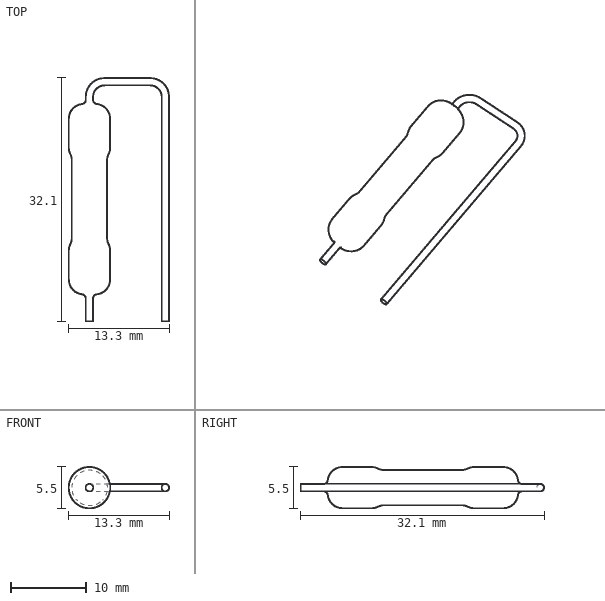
import cadquery as cq
import math


total_length = 32.1
lead_diameter = 1.0
cap_diameter = 5.5
waist_diameter = 4.7
lead_pitch = 10.0
bend_radius = 2.0
lead_tip = 16.1

waist_half_length = 5.15
flare_length = 1.6
cap_length = 3.85
dome_radius = 2.0
root_fillet = 0.498

lead_radius = lead_diameter / 2
cap_radius = cap_diameter / 2
waist_radius = waist_diameter / 2
fold_y = total_length - lead_tip - lead_radius

cap_start = waist_half_length + flare_length
dome_start = cap_start + cap_length

dome_center_x = cap_radius - dome_radius
root_center_x = lead_radius + root_fillet
center_distance = dome_radius + root_fillet
root_angle = math.acos((root_center_x - dome_center_x) / center_distance)
root_y = dome_start + center_distance * math.sin(root_angle)


def dome_point(angle):
    """Point on the dome arc, with the angle measured from the radial direction."""
    return (
        dome_center_x + dome_radius * math.cos(angle),
        dome_start + dome_radius * math.sin(angle),
    )


def root_point(angle):
    """Point on the root fillet arc, with the angle measured from the radial direction."""
    return (
        root_center_x + root_fillet * math.cos(angle),
        root_y + root_fillet * math.sin(angle),
    )


def body_half():
    """Half of the dog-bone body, from its middle to the lead root at +Y."""
    flare_middle = ((waist_radius + cap_radius) / 2, waist_half_length + flare_length / 2)
    root_start_angle = root_angle - math.pi
    root_end_angle = -math.pi
    root_middle_angle = (root_start_angle + root_end_angle) / 2
    return (
        cq.Workplane("XY")
        .moveTo(0, 0)
        .lineTo(waist_radius, 0)
        .lineTo(waist_radius, waist_half_length)
        .tangentArcPoint(flare_middle, relative=False)
        .tangentArcPoint((cap_radius, cap_start), relative=False)
        .lineTo(cap_radius, dome_start)
        .threePointArc(dome_point(root_angle / 2), dome_point(root_angle))
        .threePointArc(root_point(root_middle_angle), root_point(root_end_angle))
        .lineTo(0, root_y)
        .close()
        .revolve(360, (0, 0, 0), (0, 1, 0))
    )


def straight_lead():
    """Short lead leaving the body toward -Y."""
    return cq.Workplane("XZ").circle(lead_radius).extrude(lead_tip)


def folded_lead():
    """Lead leaving toward +Y, crossing in +X and returning to -Y."""
    bend_y = fold_y - bend_radius
    bend_rise = bend_radius * math.sin(math.pi / 4)
    bend_inset = bend_radius - bend_rise
    path = (
        cq.Workplane("XY")
        .lineTo(0, bend_y)
        .threePointArc((bend_inset, bend_y + bend_rise), (bend_radius, fold_y))
        .lineTo(lead_pitch - bend_radius, fold_y)
        .threePointArc((lead_pitch - bend_inset, bend_y + bend_rise), (lead_pitch, bend_y))
        .lineTo(lead_pitch, -lead_tip)
    )
    return cq.Workplane("XZ").circle(lead_radius).sweep(path)


half = body_half()
body = half.union(half.mirror("XZ"), clean=True)
result = body.union(straight_lead()).union(folded_lead())